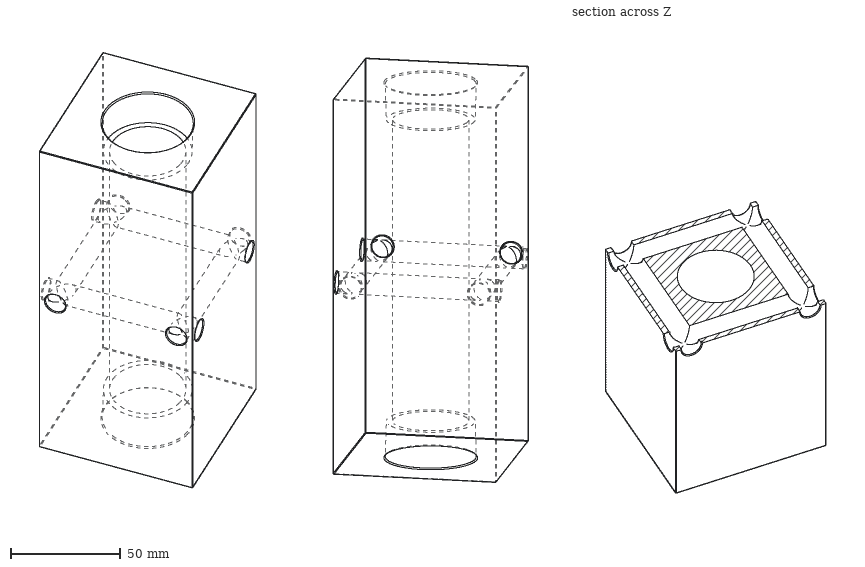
import cadquery as cq

height = 177.8
width = 76.3
edge_chamfer = 0.4

bore_diameter = 35.0
socket_depth = 17.5
socket_floor_diameter = 40.7
socket_taper = 1 / 16
mouth_diameter = 43.0

hole_diameter = 10.0
hole_mouth_diameter = 10.8
hole_offset = 30.0


def bore_cutter():
    """Axial bore with a tapered socket and a 45 degree mouth chamfer at both ends."""
    end = height / 2
    bore_radius = bore_diameter / 2
    floor_radius = socket_floor_diameter / 2
    rim_radius = floor_radius + socket_depth * socket_taper / 2
    mouth_radius = mouth_diameter / 2
    chamfer = mouth_radius - rim_radius
    half_profile = (
        cq.Workplane("XZ")
        .lineTo(bore_radius, 0)
        .lineTo(bore_radius, end - socket_depth)
        .lineTo(floor_radius, end - socket_depth)
        .lineTo(rim_radius, end - chamfer)
        .lineTo(mouth_radius, end)
        .lineTo(0, end)
        .close()
    )
    upper_half = half_profile.revolve(360, (0, 0, 0), (0, 1, 0))
    return upper_half.union(upper_half.mirror("XY"))


def cross_hole_cutter():
    """Hole along Z, centred on the origin, with a 45 degree chamfer at both ends."""
    end = width / 2
    radius = hole_diameter / 2
    mouth_radius = hole_mouth_diameter / 2
    chamfer = mouth_radius - radius
    return (
        cq.Workplane("XZ")
        .moveTo(0, -end)
        .lineTo(mouth_radius, -end)
        .lineTo(radius, -end + chamfer)
        .lineTo(radius, end - chamfer)
        .lineTo(mouth_radius, end)
        .lineTo(0, end)
        .close()
        .revolve(360, (0, 0, 0), (0, 1, 0))
    )


block = cq.Workplane("XY").box(width, width, height).edges().chamfer(edge_chamfer)
result = block.cut(bore_cutter())

cross_hole = cross_hole_cutter()
along_x = cross_hole.rotate((0, 0, 0), (0, 1, 0), 90)
along_y = cross_hole.rotate((0, 0, 0), (1, 0, 0), 90)
for offset in (-hole_offset, hole_offset):
    result = result.cut(along_x.translate((0, offset, 0)))
    result = result.cut(along_y.translate((offset, 0, 0)))